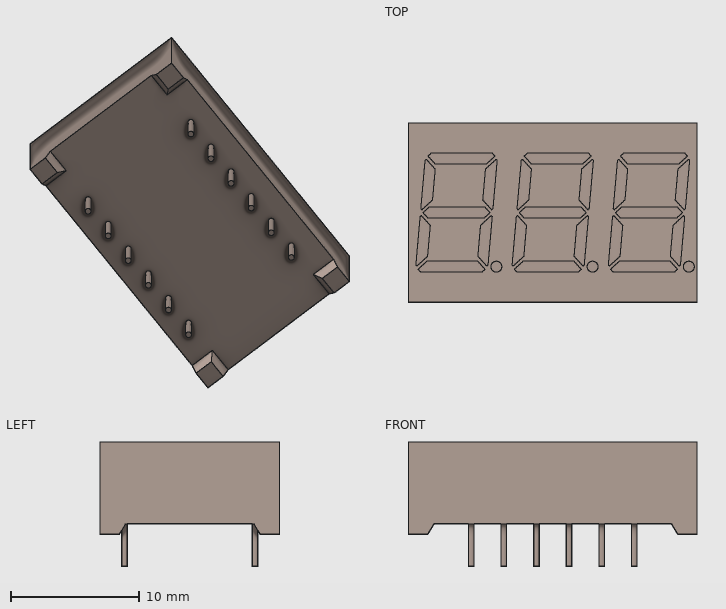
import cadquery as cq
import math


length = 22.5
width = 14.0
total_height = 9.7
housing_height = 7.2
foot_height = 0.8
foot_flat = 1.5
foot_slope_run = 0.5

pin_diameter = 0.45
pin_pitch = 2.55
pins_per_row = 6
pin_row_spacing = 10.17
pin_tip_z = housing_height - total_height

digit_count = 3
digit_pitch = length / digit_count
slant_angle = 5.0
slant = math.tan(math.radians(slant_angle))
segment_depth = 0.02
segment_width = 0.85
half_bar = segment_width / 2
digit_top = 4.64
digit_side = 2.81
bar_inner = digit_top - segment_width
side_inner = digit_side - segment_width
bar_corner_cut = 0.22
side_corner_cut = 0.1

corner_bar_miter = 1.8
corner_side_miter = 1.45
middle_bar_tip = 2.6
middle_side_miter = 2.95

dot_diameter = segment_width
dot_offset = 3.1
dot_y = dot_diameter / 2 - digit_top


def foot_channel(plane, span, through):
    """Channel with sloped walls, cut along the plane's normal between the feet."""
    half_bottom = span / 2 - foot_flat
    half_roof = half_bottom - foot_slope_run
    outline = [
        (-half_bottom, 0),
        (-half_roof, foot_height),
        (half_roof, foot_height),
        (half_bottom, 0),
    ]
    return cq.Workplane(plane).polyline(outline).close().extrude(through / 2, both=True)


def housing():
    block = cq.Workplane("XY").box(length, width, housing_height, centered=(True, True, False))
    block = block.cut(foot_channel("XZ", length, width))
    return block.cut(foot_channel("YZ", width, length))


def pins():
    return (
        cq.Workplane("XY", origin=(0, 0, pin_tip_z))
        .rarray(pin_pitch, pin_row_spacing, pins_per_row, 2)
        .circle(pin_diameter / 2)
        .extrude(foot_height - pin_tip_z)
    )


def bar_outline():
    """Top bar, with its outer corners cut at 45 degrees."""
    tip_v = digit_top - bar_corner_cut
    tip_u = tip_v - corner_bar_miter
    right_end = [
        (bar_inner - corner_bar_miter, bar_inner),
        (tip_u, tip_v),
        (tip_u - bar_corner_cut, digit_top),
    ]
    left_end = [(-u, v) for u, v in reversed(right_end)]
    return right_end + left_end


def middle_outline():
    """Middle bar, pointed at both ends."""
    shoulder = middle_bar_tip - half_bar
    return [
        (middle_bar_tip, 0),
        (shoulder, half_bar),
        (-shoulder, half_bar),
        (-middle_bar_tip, 0),
        (-shoulder, -half_bar),
        (shoulder, -half_bar),
    ]


def side_outline():
    """Upper right upright segment, with both outer points blunted."""
    tip_u = digit_side - side_corner_cut
    tip_v = tip_u + corner_side_miter
    return [
        (side_inner, middle_side_miter - side_inner),
        (tip_u, middle_side_miter - tip_u),
        (digit_side, middle_side_miter - tip_u + side_corner_cut),
        (digit_side, tip_v - side_corner_cut),
        (tip_u, tip_v),
        (side_inner, side_inner + corner_side_miter),
    ]


def segment_outlines():
    """The seven segments of one upright digit."""
    outlines = [middle_outline()]
    for v_sign in (1, -1):
        outlines.append([(u, v_sign * v) for u, v in bar_outline()])
        for u_sign in (1, -1):
            outlines.append([(u_sign * u, v_sign * v) for u, v in side_outline()])
    return outlines


def digit_recesses(centre_x):
    """Shallow recesses for one slanted digit and its decimal point."""
    floor = cq.Workplane("XY", origin=(centre_x, 0, housing_height - segment_depth))
    recesses = floor.center(dot_offset, dot_y).circle(dot_diameter / 2).extrude(segment_depth)
    for outline in segment_outlines():
        slanted = [(u + slant * v, v) for u, v in outline]
        recesses = recesses.add(floor.polyline(slanted).close().extrude(segment_depth))
    return recesses.combine()


result = housing().union(pins())
for index in range(digit_count):
    result = result.cut(digit_recesses((index - (digit_count - 1) / 2) * digit_pitch))